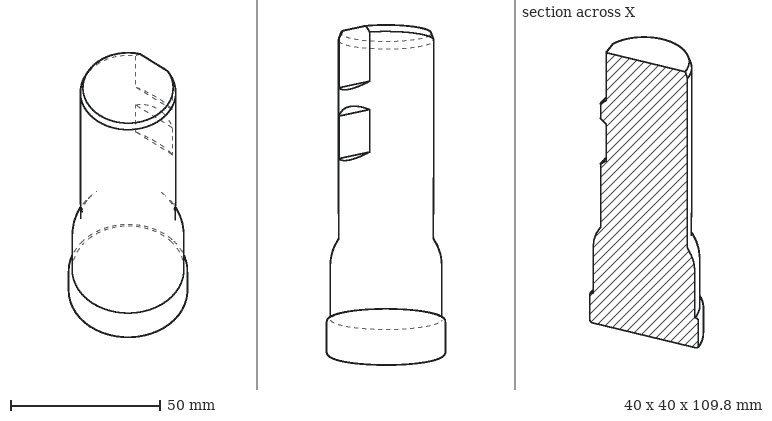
import cadquery as cq
import math

total_height = 109.8

collar_radius = 20.0
collar_height = 12.2
collar_edge_round = 1.0

body_radius = 18.8
shoulder_start = 30.5
shoulder_end = 38.9
shoulder_arc_radius = 15.0

neck_radius = 15.9
neck_end = 48.1
neck_taper_height = 0.7

shank_radius = 16.0
tip_chamfer_height = 2.4
tip_chamfer_width = 0.9

flat_offset = 13.9
upper_flat_bottom = 90.5
lower_flat_bottom = 66.4
lower_flat_top = 80.9
flat_end_slope = 1.9


def shoulder_point(angle):
    """Point (radius, height) on the shoulder arc, with angle measured from horizontal."""
    centre_radius = body_radius - shoulder_arc_radius
    return (
        centre_radius + shoulder_arc_radius * math.cos(angle),
        shoulder_start + shoulder_arc_radius * math.sin(angle),
    )


def make_turned_body():
    shoulder_angle = math.asin((shoulder_end - shoulder_start) / shoulder_arc_radius)
    shoulder_top = shoulder_point(shoulder_angle)

    blend_radius = (shoulder_top[0] - neck_radius) / (1 - math.cos(shoulder_angle))
    neck_start = shoulder_end + blend_radius * math.sin(shoulder_angle)

    profile = (
        cq.Workplane("XZ")
        .moveTo(0, 0)
        .lineTo(collar_radius - collar_edge_round, 0)
        .tangentArcPoint((collar_radius, collar_edge_round), relative=False)
        .lineTo(collar_radius, collar_height - collar_edge_round)
        .tangentArcPoint((collar_radius - collar_edge_round, collar_height), relative=False)
        .lineTo(body_radius, collar_height)
        .lineTo(body_radius, shoulder_start)
        .threePointArc(shoulder_point(shoulder_angle / 2), shoulder_top)
        .tangentArcPoint((neck_radius, neck_start), relative=False)
        .lineTo(neck_radius, neck_end)
        .lineTo(shank_radius, neck_end + neck_taper_height)
        .lineTo(shank_radius, total_height - tip_chamfer_height)
        .lineTo(shank_radius - tip_chamfer_width, total_height)
        .lineTo(0, total_height)
        .close()
    )
    return profile.revolve(360, (0, 0, 0), (0, 1, 0))


def make_flat_cutter(bottom, top, top_slope):
    """Prism across the shank; its bottom end slopes outward, and its top end by top_slope."""
    flat_depth = shank_radius - flat_offset
    cutter_outer = shank_radius + flat_depth
    outer_ratio = (cutter_outer - flat_offset) / flat_depth
    return (
        cq.Workplane("YZ")
        .moveTo(flat_offset, bottom)
        .lineTo(cutter_outer, bottom - flat_end_slope * outer_ratio)
        .lineTo(cutter_outer, top + top_slope * outer_ratio)
        .lineTo(flat_offset, top)
        .close()
        .extrude(shank_radius, both=True)
    )


upper_flat = make_flat_cutter(upper_flat_bottom, total_height, 0)
lower_flat = make_flat_cutter(lower_flat_bottom, lower_flat_top, flat_end_slope)

result = make_turned_body().cut(upper_flat).cut(lower_flat)